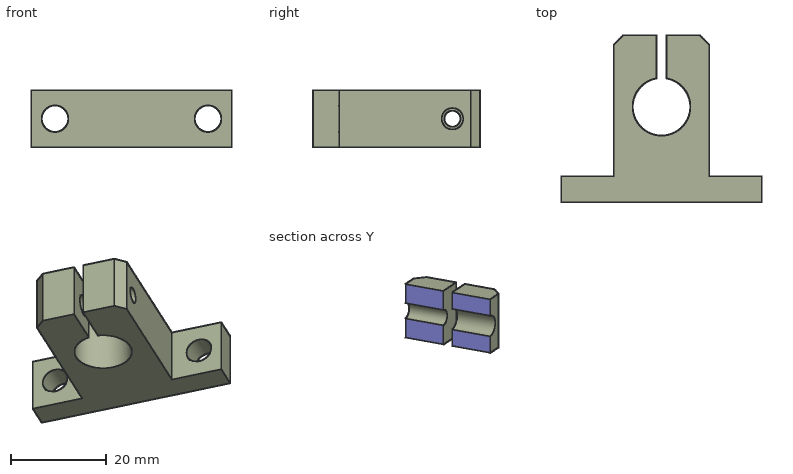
import cadquery as cq

base_length = 42.0
total_height = 35.0
thickness = 12.0

base_height = 5.5
upright_width = 20.0
corner_chamfer = 2.0

bore_diameter = 12.0
bore_height = 20.0
slit_width = 2.0

mount_hole_diameter = 5.5
mount_hole_spacing = 32.0
clamp_hole_diameter = 3.3
clamp_clearance_diameter = 4.5
clamp_hole_height = 29.2


def make_body():
    """Inverted-T block, underside on Y = 0, centred on X and Z."""
    base = cq.Workplane("XY").box(base_length, base_height, thickness, centered=(True, False, True))
    upright = (
        cq.Workplane("XY")
        .box(upright_width, total_height, thickness, centered=(True, False, True))
        .faces(">Y")
        .edges("|Z")
        .chamfer(corner_chamfer)
    )
    return base.union(upright)


def make_shaft_bore():
    """Through bore along Z."""
    return (
        cq.Workplane("XY")
        .center(0, bore_height)
        .circle(bore_diameter / 2)
        .extrude(thickness / 2, both=True)
    )


def make_slit():
    """Slit from the bore axis up through the top of the upright."""
    slit_height = total_height - bore_height
    return (
        cq.Workplane("XY")
        .box(slit_width, slit_height, thickness, centered=(True, False, True))
        .translate((0, bore_height, 0))
    )


def make_mount_holes():
    """Two holes along Y through the base flange."""
    half_spacing = mount_hole_spacing / 2
    return (
        cq.Workplane("XZ")
        .pushPoints([(-half_spacing, 0), (half_spacing, 0)])
        .circle(mount_hole_diameter / 2)
        .extrude(-base_height)
    )


def make_clamp_hole():
    """Clamp screw hole along X: narrow in the -X jaw, wider clearance in the +X jaw."""
    axis = cq.Workplane("YZ").center(clamp_hole_height, 0)
    narrow_part = axis.circle(clamp_hole_diameter / 2).extrude(-upright_width / 2)
    clearance_part = axis.circle(clamp_clearance_diameter / 2).extrude(upright_width / 2)
    return narrow_part.union(clearance_part)


result = (
    make_body()
    .cut(make_shaft_bore())
    .cut(make_slit())
    .cut(make_mount_holes())
    .cut(make_clamp_hole())
)